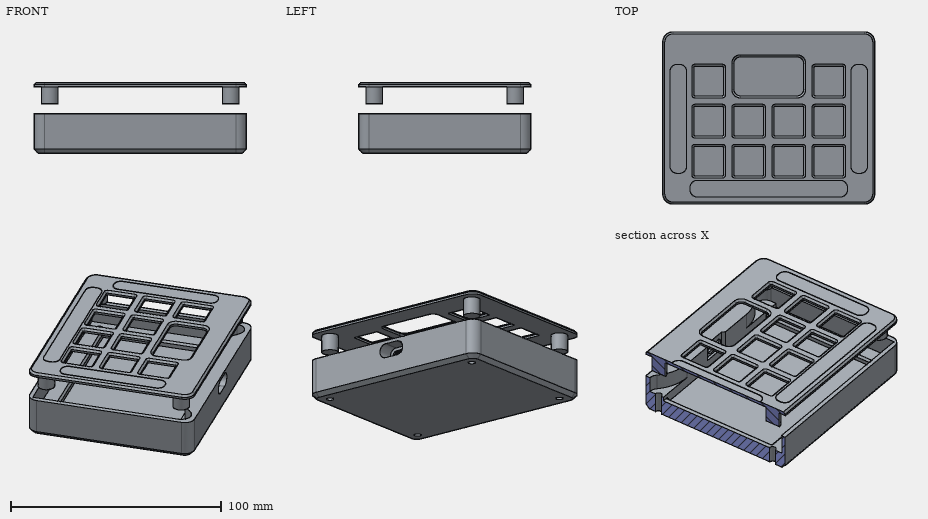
import cadquery as cq
import math


LENGTH = 101.0
WIDTH = 82.0
TOTAL_HEIGHT = 33.7
CORNER_RADIUS = 4.9
PIN_INSET = 7.5
PIN_DIAMETER = 8.0
PIN_LENGTH = 8.2
PIN_X = LENGTH / 2 - PIN_INSET
PIN_Y = WIDTH / 2 - PIN_INSET

BASE_HEIGHT = 19.0
BASE_CHAMFER = 2.0
WALL = 2.5
FRONT_WALL = 2.2
BLOCK_DEPTH = 10.4
PAD_DEPTH = PIN_LENGTH
LEDGE_DEPTH = 10.3
POCKET_DEPTH = 13.3
LEDGE_WIDTH = 8.1
LEDGE_CHAMFER = 1.0
SCREW_DIAMETER = 3.4

CAVITY_X = LENGTH / 2 - WALL
CAVITY_FRONT = -WIDTH / 2 + FRONT_WALL
BLOCK_Y = WIDTH / 2 - BLOCK_DEPTH
NOOK_RADIUS = CAVITY_X - PIN_X

RELIEF_HALF_WIDTH = 7.3
RELIEF_DEPTH = 1.4
PORT_WIDTH = 10.2
PORT_HEIGHT = 4.0
PORT_DEPTH = 5.0
PORT_Z = BASE_HEIGHT - PORT_DEPTH
PORT_WEB = 1.0
PLUG_WIDTH = 13.6
PLUG_HEIGHT = 7.0

LID_THICKNESS = 2.0
LID_CHAMFER = 1.0
LID_Z = TOTAL_HEIGHT - LID_THICKNESS

KEY_ROWS = 3
KEY_COLUMNS = 4
KEY_SPAN = 57.2
KEY_PITCH = KEY_SPAN / (KEY_COLUMNS - 1)
KEY_SIZE = 14.0
KEY_RADIUS = 0.5
KEY_TOP_ROW_Y = 17.6
OPENING_CHAMFER = 1.0
DISPLAY_LENGTH = 33.1
DISPLAY_WIDTH = 18.5
DISPLAY_RADIUS = 3.0
DISPLAY_Y = 19.8

LABEL_DEPTH = 0.2
LABEL_WIDTH = 8.0
LABEL_RADIUS = 7.0 / 2
SIDE_LABEL_LENGTH = 51.9
SIDE_LABEL_X = PIN_X
SIDE_LABEL_Y = -0.4
FRONT_LABEL_LENGTH = 74.9
FRONT_LABEL_Y = -33.6


def rounded_slab(length, width, height, radius):
    """Slab on Z = 0, centred in X and Y, with rounded vertical edges."""
    return cq.Workplane("XY").rect(length, width).extrude(height).edges("|Z").fillet(radius)


def rear_cavity_outline():
    """Cavity with two round rear nooks that flow into the straight face of the rear block."""
    diagonal = math.sqrt(0.5)
    join_x = PIN_X - NOOK_RADIUS * diagonal
    join_y = PIN_Y + NOOK_RADIUS * diagonal
    bulge_radius = (join_y - BLOCK_Y) / (1 - diagonal)
    face_x = join_x - bulge_radius * diagonal
    mid_angle = math.radians(45 / 2)
    bulge_x = face_x + bulge_radius * math.sin(mid_angle)
    bulge_y = BLOCK_Y + bulge_radius * (1 - math.cos(mid_angle))
    nook_x = PIN_X + NOOK_RADIUS * diagonal
    nook_y = PIN_Y + NOOK_RADIUS * diagonal
    return (
        cq.Workplane("XY")
        .moveTo(-CAVITY_X, CAVITY_FRONT)
        .lineTo(CAVITY_X, CAVITY_FRONT)
        .lineTo(CAVITY_X, PIN_Y)
        .threePointArc((nook_x, nook_y), (join_x, join_y))
        .threePointArc((bulge_x, bulge_y), (face_x, BLOCK_Y))
        .lineTo(-face_x, BLOCK_Y)
        .threePointArc((-bulge_x, bulge_y), (-join_x, join_y))
        .threePointArc((-nook_x, nook_y), (-CAVITY_X, PIN_Y))
        .close()
    )


def four_pin_cylinders(diameter, z_bottom, height):
    """Cylinders on the four pin axes."""
    return (
        cq.Workplane("XY", origin=(0, 0, z_bottom))
        .rect(2 * PIN_X, 2 * PIN_Y, forConstruction=True)
        .vertices()
        .circle(diameter / 2)
        .extrude(height)
    )


def box_between(x_limit, y_front, y_rear, z_bottom, z_top):
    """Box symmetric about X = 0 between the given Y and Z limits."""
    return (
        cq.Workplane("XY", origin=(0, (y_front + y_rear) / 2, z_bottom))
        .rect(2 * x_limit, y_rear - y_front)
        .extrude(z_top - z_bottom)
    )


def pocket_cutter():
    """Deep central pocket with a chamfer along its side and front ledges."""
    floor_z = BASE_HEIGHT - POCKET_DEPTH
    ledge_z = BASE_HEIGHT - LEDGE_DEPTH
    side_x = CAVITY_X - LEDGE_WIDTH
    front_y = CAVITY_FRONT + LEDGE_WIDTH
    straight = box_between(side_x, front_y, BLOCK_Y, floor_z, ledge_z)
    funnel_rear = BLOCK_Y - LEDGE_CHAMFER
    funnel = (
        cq.Workplane("XY", origin=(0, (front_y + funnel_rear) / 2, ledge_z - LEDGE_CHAMFER))
        .rect(2 * side_x, funnel_rear - front_y)
        .extrude(LEDGE_CHAMFER, taper=-45)
    )
    return straight.union(funnel)


def port_cutter():
    """Relief in the block face, the port through the web and the plug well behind it."""
    relief_y = BLOCK_Y + RELIEF_DEPTH
    floor_half_width = RELIEF_HALF_WIDTH - RELIEF_DEPTH
    relief = (
        cq.Workplane("XY", origin=(0, 0, BASE_HEIGHT - PAD_DEPTH))
        .polyline([
            (-RELIEF_HALF_WIDTH, BLOCK_Y),
            (RELIEF_HALF_WIDTH, BLOCK_Y),
            (floor_half_width, relief_y),
            (-floor_half_width, relief_y),
        ])
        .close()
        .extrude(PAD_DEPTH)
    )
    port = (
        cq.Workplane("XZ", origin=(0, WIDTH / 2, PORT_Z))
        .slot2D(PORT_WIDTH, PORT_HEIGHT)
        .extrude(BLOCK_DEPTH)
    )
    plug_well = (
        cq.Workplane("XZ", origin=(0, WIDTH / 2, PORT_Z))
        .slot2D(PLUG_WIDTH, PLUG_HEIGHT)
        .extrude(BLOCK_DEPTH - RELIEF_DEPTH - PORT_WEB)
    )
    return relief.union(port).union(plug_well)


def make_base():
    """Open box with a thick rear block, stepped interior, connector port and screw holes."""
    shell = (
        rounded_slab(LENGTH, WIDTH, BASE_HEIGHT, CORNER_RADIUS)
        .faces("<Z").edges().chamfer(BASE_CHAMFER)
    )
    rear_cavity = rear_cavity_outline().extrude(PAD_DEPTH).translate((0, 0, BASE_HEIGHT - PAD_DEPTH))
    front_cavity = box_between(CAVITY_X, CAVITY_FRONT, BLOCK_Y, BASE_HEIGHT - LEDGE_DEPTH, BASE_HEIGHT)
    screw_holes = four_pin_cylinders(SCREW_DIAMETER, 0, BASE_HEIGHT)
    return shell.cut(rear_cavity).cut(front_cavity).cut(pocket_cutter()).cut(port_cutter()).cut(screw_holes)


def lid_opening(length, width, radius, x, y):
    """Cutter for a rounded opening that flares out at the top of the lid."""
    straight = rounded_slab(length, width, LID_THICKNESS, radius)
    flare = (
        rounded_slab(
            length + 2 * OPENING_CHAMFER,
            width + 2 * OPENING_CHAMFER,
            LID_THICKNESS,
            radius + OPENING_CHAMFER,
        )
        .faces("<Z").edges().chamfer(OPENING_CHAMFER)
        .translate((0, 0, LID_THICKNESS - OPENING_CHAMFER))
    )
    return straight.union(flare).translate((x, y, LID_Z))


def label_recess(length, width, x, y):
    """Cutter for a shallow rounded recess in the top of the lid."""
    recess = rounded_slab(length, width, LABEL_DEPTH, LABEL_RADIUS)
    return recess.translate((x, y, TOTAL_HEIGHT - LABEL_DEPTH))


def make_lid():
    """Chamfered plate with four pins, key openings, a display opening and label recesses."""
    lid = (
        rounded_slab(LENGTH, WIDTH, LID_THICKNESS, CORNER_RADIUS)
        .faces(">Z").edges().chamfer(LID_CHAMFER)
        .translate((0, 0, LID_Z))
    )
    pins = four_pin_cylinders(PIN_DIAMETER, LID_Z - PIN_LENGTH, PIN_LENGTH)
    lid = lid.union(pins)

    for row in range(KEY_ROWS):
        for column in range(KEY_COLUMNS):
            is_inner_column = 0 < column < KEY_COLUMNS - 1
            if row == 0 and is_inner_column:
                continue
            key_x = column * KEY_PITCH - KEY_SPAN / 2
            key_y = KEY_TOP_ROW_Y - row * KEY_PITCH
            lid = lid.cut(lid_opening(KEY_SIZE, KEY_SIZE, KEY_RADIUS, key_x, key_y))
    lid = lid.cut(lid_opening(DISPLAY_LENGTH, DISPLAY_WIDTH, DISPLAY_RADIUS, 0, DISPLAY_Y))

    for side in (-1, 1):
        lid = lid.cut(label_recess(LABEL_WIDTH, SIDE_LABEL_LENGTH, side * SIDE_LABEL_X, SIDE_LABEL_Y))
    return lid.cut(label_recess(FRONT_LABEL_LENGTH, LABEL_WIDTH, 0, FRONT_LABEL_Y))


base = make_base()
lid = make_lid()
result = cq.Compound.makeCompound([base.val(), lid.val()])